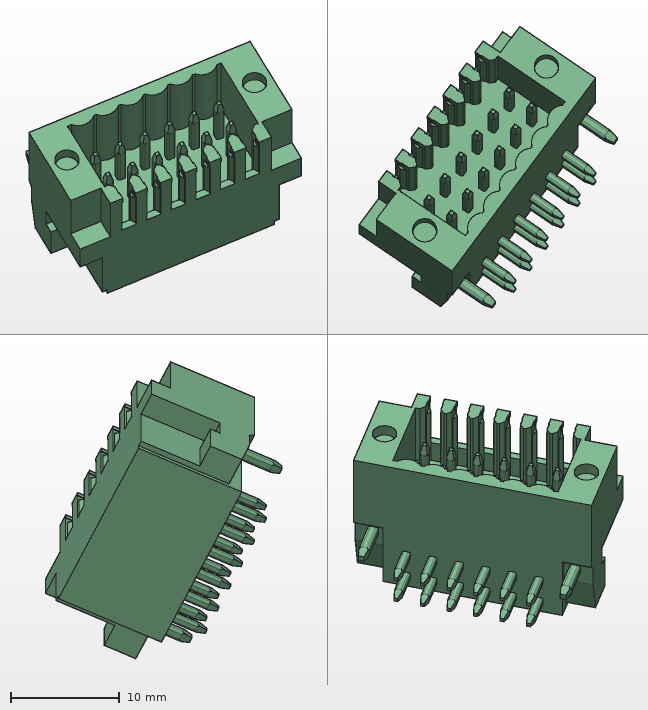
import cadquery as cq


depth = 10.5
width = 22.8
height = 14.2

contacts_per_row = 6
contact_span = 12.7
pitch = contact_span / (contacts_per_row - 1)
contact_ys = [i * pitch - contact_span / 2 for i in range(contacts_per_row)]
embed = 0.68

cavity_rear = 0.98
cavity_front = 8.57
cavity_half_width = 7.91
cavity_floor = 7.0

bump_half_width = 1.15
bump_rise = 0.52

slot_half_width = 0.73
slot_mouth_half_width = 1.15
slot_throat = 9.0
slot_step = 9.8
slot_ledge = 9.17
lip_thickness = 0.07
lip_height = 0.6
ridge_half_length = 0.52
ridge_rise = 0.27
ridge_top = height - 1.19

corner_width = 3.1
corner_floor = 8.87
side_recess_depth = 2.28
side_recess_top = 6.02
side_recess_step = 4.0
side_recess_upper_x = 3.53
side_recess_lower_x = 4.51
foot_bottom = 0.52
foot_bottom_x = 1.3
foot_width = 2.8
foot_inset = 0.52
foot_slope_top = 4.0
foot_bevel_bottom = 6.06
foot_bevel_top = 6.6

fixing_y = 9.67
hole_x = 4.33
hole_diameter = 2.23
hole_depth = 1.15

tail_length = 3.49
taper_length = 1.05
contact_size = 0.82
contact_tip = 0.36
contact_corner = 0.2
contact_top = 12.15
first_contact_x = 3.65
lower_tail_z = 1.25
contact_xs = [first_contact_x, first_contact_x + pitch]
tail_zs = [lower_tail_z, lower_tail_z + pitch]
fixing_size = 1.0
fixing_tip = 0.55
fixing_corner = 0.25
fixing_z = 5.52


def box(x0, x1, y0, y1, z0, z1):
    """Box between two opposite corners."""
    return cq.Workplane("XY").box(x1 - x0, y1 - y0, z1 - z0, centered=False).translate((x0, y0, z0))


def column(points, z0, z1):
    """Upright prism over a closed XY outline."""
    return cq.Workplane("XY").workplane(offset=z0).polyline(points).close().extrude(z1 - z0)


def end_prism(points, thickness):
    """Prism over an XZ outline, reaching inward from the -Y end."""
    profile = cq.Workplane("XZ", origin=(0, -width / 2, 0)).polyline(points).close()
    return profile.extrude(-thickness)


def pin(length, size, tip, corner):
    """Square pin along +Z from the origin, with rounded edges and a four-sided tapered tip."""
    shank = cq.Workplane("XY").rect(size, size).extrude(length).edges("|Z").fillet(corner)
    straight = length - taper_length
    envelope = cq.Workplane("XY").rect(size, size).extrude(straight)
    taper = cq.Workplane("XY").workplane(offset=straight).rect(size, size)
    taper = taper.workplane(offset=taper_length).rect(tip, tip).loft()
    return shank.intersect(envelope.union(taper))


def both_ends(shape):
    """The shape together with its mirror image in Y."""
    return shape.union(shape.mirror("XZ"))


def cavity():
    """Cavity volume with a round bump left standing behind each contact column."""
    outline = cq.Workplane("XY").workplane(offset=cavity_floor).moveTo(cavity_rear, -cavity_half_width)
    for y in contact_ys:
        outline = outline.lineTo(cavity_rear, y - bump_half_width)
        outline = outline.threePointArc((cavity_rear + bump_rise, y), (cavity_rear, y + bump_half_width))
    outline = outline.lineTo(cavity_rear, cavity_half_width).lineTo(cavity_front, cavity_half_width)
    return outline.lineTo(cavity_front, -cavity_half_width).close().extrude(height - cavity_floor)


def slot():
    """Stepped slot through the front wall, centred on Y = 0, less its lips and ridges."""
    inner = column(
        [
            (cavity_front, -slot_mouth_half_width),
            (slot_throat, -slot_half_width),
            (slot_step, -slot_half_width),
            (slot_step, slot_half_width),
            (slot_throat, slot_half_width),
            (cavity_front, slot_mouth_half_width),
        ],
        cavity_floor,
        height,
    )
    outer = box(slot_step, depth, -slot_half_width, slot_half_width, slot_ledge, height)
    lip = box(slot_step, depth, -slot_half_width, lip_thickness - slot_half_width, height - lip_height, height)
    ridge = column(
        [
            (slot_step - ridge_half_length, -slot_half_width),
            (slot_step + ridge_half_length, -slot_half_width),
            (slot_step, ridge_rise - slot_half_width),
        ],
        cavity_floor,
        ridge_top,
    )
    return inner.union(outer).cut(both_ends(lip)).cut(both_ends(ridge))


def end_cuts():
    """Material removed at the -Y end."""
    corner = box(cavity_front, depth, -width / 2, corner_width - width / 2, corner_floor, height)
    side_recess = end_prism(
        [
            (side_recess_upper_x, side_recess_top),
            (depth, side_recess_top),
            (depth, foot_bottom),
            (side_recess_lower_x, foot_bottom),
            (side_recess_lower_x, side_recess_step),
            (side_recess_upper_x, side_recess_step),
        ],
        side_recess_depth,
    )
    foot_relief = end_prism(
        [
            (0, foot_bevel_top),
            (foot_inset, foot_bevel_bottom),
            (foot_inset, foot_slope_top),
            (foot_bottom_x, foot_bottom),
            (depth, foot_bottom),
            (depth, 0),
            (0, 0),
        ],
        foot_width,
    )
    hole = cq.Workplane("XY", origin=(hole_x, -fixing_y, height - hole_depth))
    hole = hole.circle(hole_diameter / 2).extrude(hole_depth)
    return corner.union(side_recess).union(foot_relief).union(hole)


result = cq.Workplane("XY").box(depth, width, height, centered=(False, True, False))
result = result.cut(both_ends(end_cuts())).cut(cavity())
for y in contact_ys:
    result = result.cut(slot().translate((0, y, 0)))

mating_pin = pin(contact_top - cavity_floor + embed, contact_size, contact_tip, contact_corner)
mating_pin = mating_pin.translate((0, 0, cavity_floor - embed))
tail = pin(tail_length + embed, contact_size, contact_tip, contact_corner)
tail = tail.rotate((0, 0, 0), (0, 1, 0), -90).translate((embed, 0, 0))
for y in contact_ys:
    for x in contact_xs:
        result = result.union(mating_pin.translate((x, y, 0)))
    for z in tail_zs:
        result = result.union(tail.translate((0, y, z)))

fixing_root = foot_inset + embed
fixing_pin = pin(tail_length + fixing_root, fixing_size, fixing_tip, fixing_corner)
fixing_pin = fixing_pin.rotate((0, 0, 0), (0, 1, 0), -90).translate((fixing_root, -fixing_y, fixing_z))
result = result.union(both_ends(fixing_pin))